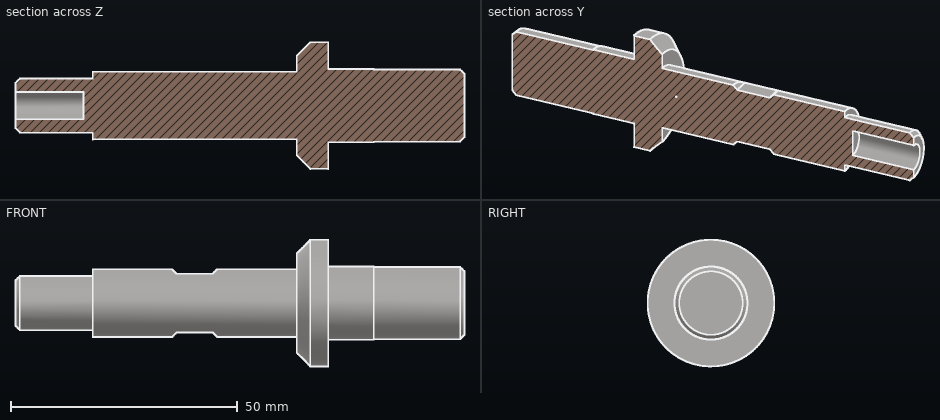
import cadquery as cq

tip_length = 17.0
tip_diameter = 12.0
shank_length = 45.0
shank_diameter = 15.0
flange_length = 7.0
flange_diameter = 28.0
flange_chamfer = 3.0
seat_length = 10.0
seat_diameter = 16.2
tail_length = 20.0
tail_diameter = 16.0
end_chamfer = 1.0

bore_diameter = 6.0
bore_depth = 15.0

flat_center_x = 39.5
flat_spacing = 13.0
flat_floor_length = 8.0

shank_start = tip_length
flange_start = shank_start + shank_length
seat_start = flange_start + flange_length
tail_start = seat_start + seat_length


def cylinder(start, length, diameter):
    """Solid cylinder along +X, beginning at the given X."""
    return cq.Workplane("YZ", origin=(start, 0, 0)).circle(diameter / 2).extrude(length)


def make_shaft():
    tip = cylinder(0, tip_length, tip_diameter).faces("<X").chamfer(end_chamfer)
    shank = cylinder(shank_start, shank_length, shank_diameter)
    flange = cylinder(flange_start, flange_length, flange_diameter).faces("<X").chamfer(flange_chamfer)
    seat = cylinder(seat_start, seat_length, seat_diameter)
    tail = cylinder(tail_start, tail_length, tail_diameter).faces(">X").chamfer(end_chamfer)
    return tip.union(shank).union(flange).union(seat).union(tail)


def make_flat_cutter():
    """Trapezoidal cutter for the upper flat: widens outward at 45 degrees."""
    floor_z = flat_spacing / 2
    top_z = shank_diameter
    half_floor = flat_floor_length / 2
    half_top = half_floor + top_z - floor_z
    return (
        cq.Workplane("XZ", origin=(flat_center_x, 0, 0))
        .polyline(
            [
                (-half_floor, floor_z),
                (half_floor, floor_z),
                (half_top, top_z),
                (-half_top, top_z),
            ]
        )
        .close()
        .extrude(shank_diameter / 2, both=True)
    )


upper_flat = make_flat_cutter()
lower_flat = upper_flat.mirror("XY")
bore = cylinder(0, bore_depth, bore_diameter)

result = make_shaft().cut(upper_flat).cut(lower_flat).cut(bore)